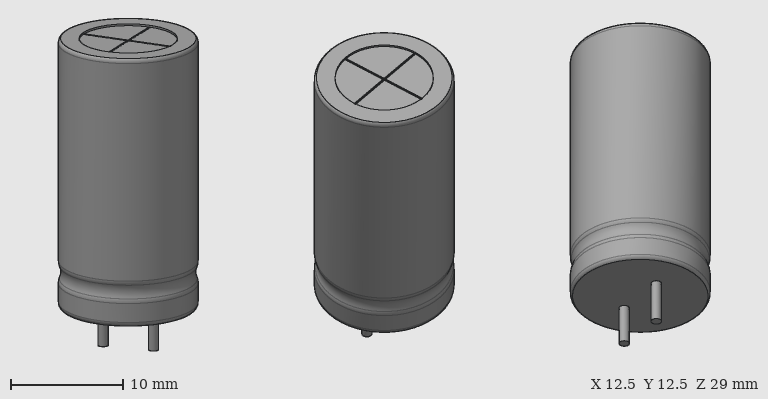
import cadquery as cq
import math

total_height = 29.0
long_lead_length = 4.0
short_lead_length = 3.75
can_height = total_height - long_lead_length
can_radius = 6.25

rim_width = 0.2
rim_height = 0.4

groove_center_z = 3.22
groove_depth = 0.218
groove_half_height = 1.05
groove_hollow_half_height = 0.65

vent_radius = 4.38
vent_depth = 0.17
score_width = 0.12
score_depth = 0.1

lead_radius = 0.45
lead_pitch = 5.0
lead_embed = 0.3


def arc_midpoint_drop(run, drop):
    """Drop at half the run of an arc that starts level and falls by `drop` over `run`."""
    radius = (run**2 + drop**2) / (2 * drop)
    return radius - math.sqrt(radius**2 - (run / 2) ** 2)


def make_can():
    """Revolve the can profile; the groove blends smoothly into the wall."""
    hollow_depth = groove_depth * groove_hollow_half_height / groove_half_height
    shoulder_depth = groove_depth - hollow_depth
    shoulder_run = groove_half_height - groove_hollow_half_height
    shoulder_mid_drop = arc_midpoint_drop(shoulder_run, shoulder_depth)
    shoulder_radius = can_radius - shoulder_depth
    shoulder_mid_offset = groove_half_height - shoulder_run / 2
    rim_mid_drop = arc_midpoint_drop(rim_height, rim_width)
    rim_mid_radius = can_radius - rim_mid_drop
    end_radius = can_radius - rim_width

    profile = (
        cq.Workplane("XZ")
        .lineTo(end_radius, 0)
        .threePointArc((rim_mid_radius, rim_height / 2), (can_radius, rim_height))
        .lineTo(can_radius, groove_center_z - groove_half_height)
        .threePointArc(
            (can_radius - shoulder_mid_drop, groove_center_z - shoulder_mid_offset),
            (shoulder_radius, groove_center_z - groove_hollow_half_height),
        )
        .threePointArc(
            (can_radius - groove_depth, groove_center_z),
            (shoulder_radius, groove_center_z + groove_hollow_half_height),
        )
        .threePointArc(
            (can_radius - shoulder_mid_drop, groove_center_z + shoulder_mid_offset),
            (can_radius, groove_center_z + groove_half_height),
        )
        .lineTo(can_radius, can_height - rim_height)
        .threePointArc((rim_mid_radius, can_height - rim_height / 2), (end_radius, can_height))
        .lineTo(0, can_height)
        .close()
    )
    return profile.revolve(360, (0, 0, 0), (0, 1, 0))


def make_vent():
    """Material removed from the top: a shallow disc with a scored cross in its floor."""
    floor_z = can_height - vent_depth
    disc = cq.Workplane("XY").workplane(offset=floor_z).circle(vent_radius).extrude(vent_depth)
    cross_base = cq.Workplane("XY").workplane(offset=floor_z - score_depth)
    score_height = score_depth + vent_depth
    along_x = cross_base.rect(2 * vent_radius, score_width).extrude(score_height)
    along_y = cross_base.rect(score_width, 2 * vent_radius).extrude(score_height)
    vent_limit = cross_base.circle(vent_radius).extrude(score_height)
    return disc.union(along_x.union(along_y).intersect(vent_limit))


def make_lead(x, length):
    """Round lead hanging below the can and reaching a little way into it."""
    return (
        cq.Workplane("XY")
        .workplane(offset=-length)
        .center(x, 0)
        .circle(lead_radius)
        .extrude(length + lead_embed)
    )


result = make_can().cut(make_vent())
for lead_x, lead_length in ((-lead_pitch / 2, long_lead_length), (lead_pitch / 2, short_lead_length)):
    result = result.union(make_lead(lead_x, lead_length))